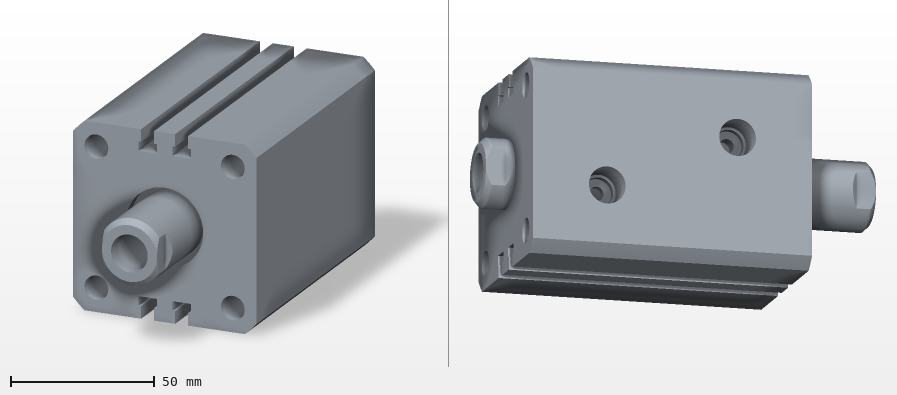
import cadquery as cq
import math

SIDE = 70.0
HOUSING_LENGTH = 101.0
CORNER_CUT = 4.4
FRONT_Y = -HOUSING_LENGTH / 2
REAR_Y = HOUSING_LENGTH / 2

BOLT_PITCH = 52.0
BOLT_DIAMETER = 9.0

SLOT_PITCH = 13.0
SLOT_MOUTH_WIDTH = 5.0
SLOT_FOOT_WIDTH = 7.0
SLOT_MOUTH_DEPTH = 4.7
SLOT_DEPTH = 8.2

PORT_END_DISTANCE = 27.0
PORT_Y = HOUSING_LENGTH / 2 - PORT_END_DISTANCE
PORT_Z = 10.0
PORT_MOUTH_DIAMETER = 13.3
PORT_TAPER_END_DIAMETER = 12.4
PORT_DEPTH = 11.3
PORT_CORE_DIAMETER = 10.6
PORT_CORE_DEPTH = 14.0
PORT_ORIFICE_DIAMETER = 5.1
PORT_ORIFICE_DEPTH = 19.7

BORE_RADIUS = 20.0
CHAMBER_OVERRUN = 1.1
CHAMBER_FRONT_Y = -PORT_Y - CHAMBER_OVERRUN
CHAMBER_REAR_Y = PORT_Y + CHAMBER_OVERRUN

RECESS_RADIUS = 14.7
UNDERCUT_RADIUS = 14.8
RECESS_LIP = 0.8
RECESS_DEPTH = 5.1

ROD_RADIUS = 12.4
ROD_LENGTH = 141.0
ROD_REAR_OVERHANG = 10.0
ROD_REAR_Y = REAR_Y + ROD_REAR_OVERHANG
ROD_FRONT_Y = ROD_REAR_Y - ROD_LENGTH
ROD_CHAMFER = 2.0
ROD_RIM_FILLET = 0.7
FLAT_WIDTH = 21.0
FLAT_LENGTH = 7.0
ROD_HOLE_RADIUS = 6.98
ROD_HOLE_DEPTH = 25.0
DRILL_TIP_ANGLE = 118
PISTON_LENGTH = 14.1
PISTON_GAP = 0.4


def cylinder_y(radius, start, end):
    """Solid cylinder on the Y axis from start to end."""
    return cq.Workplane("XZ", origin=(0, start, 0)).circle(radius).extrude(start - end)


def cone_y(radius, base, tip):
    """Solid cone on the Y axis with its point at tip."""
    profile = [(0, base), (radius, base), (0, tip)]
    return cq.Workplane("XY").polyline(profile).close().revolve(360, (0, 0, 0), (0, 1, 0))


def housing_block():
    """Square block whose corners are turned to a circle about the rod axis."""
    half = SIDE / 2
    corner_radius = math.hypot(half, half - CORNER_CUT)
    block = cq.Workplane("XY").box(SIDE, HOUSING_LENGTH, SIDE)
    return block.intersect(cylinder_y(corner_radius, FRONT_Y, REAR_Y))


def t_slot(x, side):
    """T-slot cutter at x; side is 1 for the top face and -1 for the bottom face."""
    half = SIDE / 2
    foot_height = SLOT_DEPTH - SLOT_MOUTH_DEPTH
    mouth = cq.Workplane("XY").box(SLOT_MOUTH_WIDTH, HOUSING_LENGTH, SLOT_DEPTH)
    foot = cq.Workplane("XY").box(SLOT_FOOT_WIDTH, HOUSING_LENGTH, foot_height)
    mouth = mouth.translate((x, 0, side * (half - SLOT_DEPTH / 2)))
    foot = foot.translate((x, 0, side * (half - SLOT_DEPTH + foot_height / 2)))
    return mouth.union(foot)


def port(y, z):
    """Port cutter entering the -X face at (y, z): a taper, a core hole and an orifice."""
    mouth_radius = PORT_MOUTH_DIAMETER / 2
    taper_end_radius = PORT_TAPER_END_DIAMETER / 2
    core_radius = PORT_CORE_DIAMETER / 2
    orifice_radius = PORT_ORIFICE_DIAMETER / 2
    profile = [
        (0, 0),
        (0, mouth_radius),
        (PORT_DEPTH, taper_end_radius),
        (PORT_DEPTH, core_radius),
        (PORT_CORE_DEPTH, core_radius),
        (PORT_CORE_DEPTH, orifice_radius),
        (PORT_ORIFICE_DEPTH, orifice_radius),
        (PORT_ORIFICE_DEPTH, 0),
    ]
    cutter = cq.Workplane("XY").polyline(profile).close().revolve(360, (0, 0, 0), (1, 0, 0))
    return cutter.translate((-SIDE / 2, y, z))


def make_housing():
    """Housing with chamber, rod passage, undercut front recess, bolt holes, slots and ports."""
    body = housing_block()
    body = body.cut(cylinder_y(BORE_RADIUS, CHAMBER_FRONT_Y, REAR_Y))
    body = body.cut(cylinder_y(ROD_RADIUS, FRONT_Y, CHAMBER_FRONT_Y))
    body = body.cut(cylinder_y(RECESS_RADIUS, FRONT_Y, FRONT_Y + RECESS_DEPTH))
    body = body.cut(cylinder_y(UNDERCUT_RADIUS, FRONT_Y + RECESS_LIP, FRONT_Y + RECESS_DEPTH))
    for side in (-1, 1):
        for x_sign in (-1, 1):
            bolt_hole = cylinder_y(BOLT_DIAMETER / 2, FRONT_Y, REAR_Y)
            body = body.cut(bolt_hole.translate((x_sign * BOLT_PITCH / 2, 0, side * BOLT_PITCH / 2)))
            body = body.cut(t_slot(x_sign * SLOT_PITCH / 2, side))
    body = body.cut(port(-PORT_Y, PORT_Z))
    body = body.cut(port(PORT_Y, -PORT_Z))
    return body


def make_rear_cover():
    """Disc that closes the rear of the chamber and guides the rod."""
    disc = cylinder_y(BORE_RADIUS, CHAMBER_REAR_Y, REAR_Y)
    return disc.cut(cylinder_y(ROD_RADIUS, CHAMBER_REAR_Y, REAR_Y))


def wrench_flat(end_y, inward, x_sign):
    """Cutter for one wrench flat with a 45 degree run-out; inward is the Y direction into the rod."""
    flat_x = FLAT_WIDTH / 2
    run_out = ROD_RADIUS - flat_x
    profile = [
        (x_sign * flat_x, end_y),
        (x_sign * flat_x, end_y + inward * FLAT_LENGTH),
        (x_sign * ROD_RADIUS, end_y + inward * (FLAT_LENGTH + run_out)),
        (x_sign * ROD_RADIUS, end_y),
    ]
    return cq.Workplane("XY").polyline(profile).close().extrude(ROD_RADIUS, both=True)


def rod_end_hole(end_y, inward):
    """Drilled hole cutter with a conical bottom."""
    tip_length = ROD_HOLE_RADIUS / math.tan(math.radians(DRILL_TIP_ANGLE / 2))
    bottom_y = end_y + inward * ROD_HOLE_DEPTH
    tip = cone_y(ROD_HOLE_RADIUS, bottom_y, bottom_y + inward * tip_length)
    return cylinder_y(ROD_HOLE_RADIUS, end_y, bottom_y).union(tip)


def make_piston_rod():
    """Through rod with its piston, chamfered ends, wrench flats and end holes."""
    rod = cylinder_y(ROD_RADIUS, ROD_FRONT_Y, ROD_REAR_Y).faces("<Y or >Y").chamfer(ROD_CHAMFER)
    rim_y = ROD_LENGTH / 2 - ROD_CHAMFER
    middle_y = (ROD_FRONT_Y + ROD_REAR_Y) / 2
    for end in (-1, 1):
        rim = cq.selectors.NearestToPointSelector((0, middle_y + end * rim_y, 0))
        rod = rod.edges("%CIRCLE").edges(rim).fillet(ROD_RIM_FILLET)
    piston_front_y = CHAMBER_FRONT_Y + PISTON_GAP
    rod = rod.union(cylinder_y(BORE_RADIUS, piston_front_y, piston_front_y + PISTON_LENGTH))
    for end_y, inward in ((ROD_FRONT_Y, 1), (ROD_REAR_Y, -1)):
        for x_sign in (-1, 1):
            rod = rod.cut(wrench_flat(end_y, inward, x_sign))
        rod = rod.cut(rod_end_hole(end_y, inward))
    return rod


housing = make_housing()
rear_cover = make_rear_cover()
piston_rod = make_piston_rod()

result = cq.Compound.makeCompound([housing.val(), rear_cover.val(), piston_rod.val()])